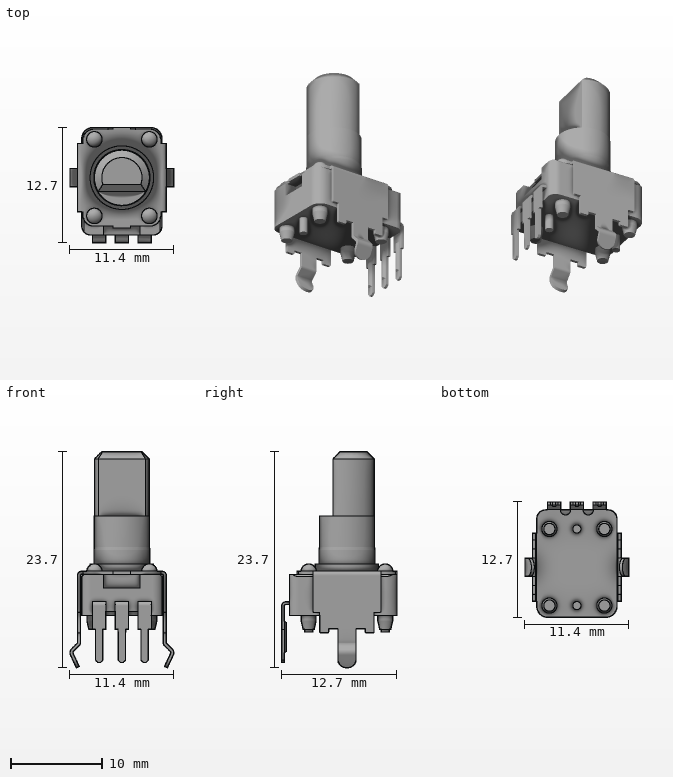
import cadquery as cq
import math


BODY_HALF_X = 4.4
BODY_BACK_Y = 5.5
BODY_FRONT_Y = -6.3
BODY_TOP_Z = 4.5
BACK_CORNER_RADIUS = 1.25
FRONT_CORNER_RADIUS = 1.02
SIDE_EDGE_CHAMFER = 0.24
NOTCH_DEPTH = 1.4
NOTCH_HEIGHT = 1.5
FRONT_NOTCH_WIDTH = 4.0
BACK_NOTCH_WIDTH = 2.99
RELIEF_RADIUS = 0.57
RELIEF_HEIGHT = 0.43

PLATE_THICKNESS = 0.35
PLATE_TOP_Z = BODY_TOP_Z + PLATE_THICKNESS
PLATE_MID_Z = BODY_TOP_Z + PLATE_THICKNESS / 2
PLATE_HALF_X = 4.27
PLATE_HALF_Y = 5.3
PLATE_CORNER_RADIUS = 1.18
PLATE_TAB_WIDTH = 1.95
BEND_RADIUS = 0.3
EAR_OUTER_X = 4.88
EAR_MID_X = EAR_OUTER_X - PLATE_THICKNESS / 2
EAR_HALF_WIDTH = 3.75
EAR_SHOULDER_Z = 0.35
EAR_LEG_HALF_WIDTH = 2.99
FOOT_Z = -1.9
FOOT_INNER_Y = 2.0
CROTCH_Z = -1.45
EAR_FILLET = 0.15

HOOK_WIDTH = 2.01
HOOK_TIP_RADIUS = 1.0
HOOK_START_Z = -3.08
HOOK_START_BEND = 0.2
HOOK_KNEE_BEND = 0.43
HOOK_KNEE_OFFSET = 0.9
HOOK_TIP_LENGTH = 1.85
HOOK_TIP_ANGLE = 25

RIVET_X = 3.0
RIVET_Y = 4.2
RIVET_RADIUS = 0.85
RIVET_HEIGHT = 0.8
PEG_RADIUS = 0.83
PEG_ROOT_Z = 2.25
PEG_STRAIGHT_Z = -0.6
PEG_END_Z = -1.52
PEG_END_RADIUS = 0.62
CENTER_PEG_RADIUS = 0.45
CENTER_PEG_END_Z = -1.8

BUSHING_RADIUS = 3.48
BUSHING_TOP_Z = 5.66
SHAFT_RADIUS = 3.0
SHANK_RADIUS = 3.03
COLLAR_RADIUS = 3.08
COLLAR_TOP_Z = 7.15
COLLAR_CONE_HEIGHT = 0.3
SHAFT_TOP_Z = 17.96
SHAFT_CHAMFER = 0.8
FLAT_BOTTOM_Z = 10.93
FLAT_Y = -1.55

PIN_PITCH = 2.5
PIN_THICKNESS = 0.3
PIN_WIDTH = 1.5
PIN_FRONT_Y = -7.15
PIN_MID_Y = PIN_FRONT_Y + PIN_THICKNESS / 2
PIN_TOP_Z = 1.52
PIN_MID_Z = PIN_TOP_Z - PIN_THICKNESS / 2
PIN_SHOULDER_Z = -1.52
PIN_END_Z = -5.15
PIN_TAIL_WIDTH = 0.83
PIN_TIP_CHAMFER = 0.25
PIN_ROOT = 0.47
RIB_TOP_Z = -0.6
RIB_BOTTOM_Z = -4.1
RIB_WIDTH = 0.57
RIB_HEIGHT = 0.21
RIB_TAPER = 40


def block(x_range, y_range, z_range):
    """Box spanning the given (low, high) ranges."""
    sizes = [high - low for low, high in (x_range, y_range, z_range)]
    corner = (x_range[0], y_range[0], z_range[0])
    return cq.Workplane("XY").box(*sizes, centered=False).translate(corner)


def bent_strip(points, bend_radii, width, thickness):
    """Flat strip swept along a YZ polyline centred on X = 0, with one bend radius per inner point."""
    path = cq.Wire.makePolygon([cq.Vector(0, y, z) for y, z in points])
    for corner in range(len(bend_radii), 0, -1):
        path = path.fillet(bend_radii[corner - 1], [path.Vertices()[corner]])
    section = cq.Workplane("XZ", origin=(0, *points[0])).rect(width, thickness)
    return section.sweep(cq.Workplane(obj=path))


def make_body():
    length = BODY_BACK_Y - BODY_FRONT_Y
    mid_y = (BODY_BACK_Y + BODY_FRONT_Y) / 2
    body = cq.Workplane("XY").center(0, mid_y).rect(2 * BODY_HALF_X, length).extrude(BODY_TOP_Z)
    body = body.edges("|Z and >Y").fillet(BACK_CORNER_RADIUS)
    body = body.edges("|Z and <Y").fillet(FRONT_CORNER_RADIUS)

    envelope = block((-BODY_HALF_X, BODY_HALF_X), (BODY_FRONT_Y, BODY_BACK_Y), (0, BODY_TOP_Z))
    body = body.intersect(envelope.edges("|Y and >Z").chamfer(SIDE_EDGE_CHAMFER))

    notch_z = (BODY_TOP_Z - NOTCH_HEIGHT, BODY_TOP_Z)
    front_x = (-FRONT_NOTCH_WIDTH / 2, FRONT_NOTCH_WIDTH / 2)
    back_x = (-BACK_NOTCH_WIDTH / 2, BACK_NOTCH_WIDTH / 2)
    body = body.cut(block(front_x, (BODY_FRONT_Y, BODY_FRONT_Y + NOTCH_DEPTH), notch_z))
    body = body.cut(block(back_x, (BODY_BACK_Y - NOTCH_DEPTH, BODY_BACK_Y), notch_z))

    relief_points = [(side * PIN_PITCH / 2, BODY_FRONT_Y) for side in (-1, 1)]
    reliefs = cq.Workplane("XY").pushPoints(relief_points).circle(RELIEF_RADIUS).extrude(RELIEF_HEIGHT)
    return body.cut(reliefs)


def make_plate():
    plate = (
        cq.Workplane("XY", origin=(0, 0, BODY_TOP_Z))
        .rect(2 * PLATE_HALF_X, 2 * PLATE_HALF_Y)
        .extrude(PLATE_THICKNESS)
        .edges("|Z")
        .fillet(PLATE_CORNER_RADIUS)
    )
    tab_x = (-PLATE_TAB_WIDTH / 2, PLATE_TAB_WIDTH / 2)
    return plate.union(block(tab_x, (-BODY_BACK_Y, BODY_BACK_Y), (BODY_TOP_Z, PLATE_TOP_Z)))


def make_ear():
    """Ear with its hook on the +Y side, its width running along X."""
    knee = (EAR_MID_X + HOOK_KNEE_OFFSET, HOOK_START_Z - HOOK_KNEE_OFFSET)
    angle = math.radians(HOOK_TIP_ANGLE)
    tip = (knee[0] - HOOK_TIP_LENGTH * math.sin(angle), knee[1] - HOOK_TIP_LENGTH * math.cos(angle))
    panel_start = (PLATE_HALF_X - PLATE_THICKNESS, PLATE_MID_Z)
    panel_corner = (EAR_MID_X, PLATE_MID_Z)
    panel_path = [panel_start, panel_corner, (EAR_MID_X, FOOT_Z)]
    panel = bent_strip(panel_path, [BEND_RADIUS], 2 * EAR_HALF_WIDTH, PLATE_THICKNESS)

    half_outline = [
        (0, PLATE_TOP_Z),
        (EAR_HALF_WIDTH, PLATE_TOP_Z),
        (EAR_HALF_WIDTH, EAR_SHOULDER_Z),
        (EAR_LEG_HALF_WIDTH, EAR_SHOULDER_Z),
        (EAR_LEG_HALF_WIDTH, FOOT_Z),
        (FOOT_INNER_Y, FOOT_Z),
        (FOOT_INNER_Y, CROTCH_Z),
        (0, CROTCH_Z),
    ]
    outline = cq.Workplane("XZ").polyline(half_outline).close().extrude(-EAR_OUTER_X)
    outline = outline.edges("|Y").edges(">X").edges("<Z").fillet(EAR_FILLET)
    outline = outline.faces("<Z").edges("|Y").fillet(EAR_FILLET)
    outline = outline.union(outline.mirror("YZ"))

    hook_path = [panel_start, panel_corner, (EAR_MID_X, HOOK_START_Z), knee, tip]
    hook_bends = [BEND_RADIUS, HOOK_START_BEND, HOOK_KNEE_BEND]
    hook = bent_strip(hook_path, hook_bends, HOOK_WIDTH, PLATE_THICKNESS)
    hook = hook.faces("<Z").edges("not |X").fillet(HOOK_TIP_RADIUS)
    return panel.intersect(outline).union(hook)


def make_rivets_and_pegs():
    dome_center_z = PLATE_TOP_Z + RIVET_HEIGHT - RIVET_RADIUS
    dome = cq.Workplane("XY").sphere(RIVET_RADIUS).translate((0, 0, dome_center_z))
    peg = (
        cq.Workplane("XZ")
        .polyline([
            (0, PEG_ROOT_Z),
            (PEG_RADIUS, PEG_ROOT_Z),
            (PEG_RADIUS, PEG_STRAIGHT_Z),
            (PEG_END_RADIUS, PEG_END_Z),
            (0, PEG_END_Z),
        ])
        .close()
        .revolve()
    )
    center_peg = cq.Workplane("XY").circle(CENTER_PEG_RADIUS).extrude(CENTER_PEG_END_Z)
    parts = []
    for y in (-RIVET_Y, RIVET_Y):
        parts.append(center_peg.translate((0, y, 0)))
        for x in (-RIVET_X, RIVET_X):
            parts.append(dome.translate((x, y, 0)))
            parts.append(peg.translate((x, y, 0)))
    return parts


def make_shaft():
    shaft = (
        cq.Workplane("XY", origin=(0, 0, FLAT_BOTTOM_Z))
        .circle(SHAFT_RADIUS)
        .extrude(SHAFT_TOP_Z - FLAT_BOTTOM_Z)
    )
    flat_y = (-SHAFT_RADIUS, FLAT_Y)
    shaft = shaft.cut(block((-SHAFT_RADIUS, SHAFT_RADIUS), flat_y, (FLAT_BOTTOM_Z, SHAFT_TOP_Z)))
    shaft = shaft.faces(">Z").chamfer(SHAFT_CHAMFER)

    lower_part = (
        cq.Workplane("XZ")
        .polyline([
            (0, BODY_TOP_Z),
            (BUSHING_RADIUS, BODY_TOP_Z),
            (BUSHING_RADIUS, BUSHING_TOP_Z),
            (COLLAR_RADIUS, BUSHING_TOP_Z),
            (COLLAR_RADIUS, COLLAR_TOP_Z),
            (SHANK_RADIUS, COLLAR_TOP_Z + COLLAR_CONE_HEIGHT),
            (SHANK_RADIUS, FLAT_BOTTOM_Z),
            (0, FLAT_BOTTOM_Z),
        ])
        .close()
        .revolve()
    )
    return shaft.union(lower_part)


def make_pin():
    strip_path = [(BODY_FRONT_Y + PIN_ROOT, PIN_MID_Z), (PIN_MID_Y, PIN_MID_Z), (PIN_MID_Y, PIN_END_Z)]
    strip = bent_strip(strip_path, [BEND_RADIUS], PIN_WIDTH, PIN_THICKNESS)

    half_outline = [
        (0, PIN_TOP_Z),
        (PIN_WIDTH / 2, PIN_TOP_Z),
        (PIN_WIDTH / 2, PIN_SHOULDER_Z),
        (PIN_TAIL_WIDTH / 2, PIN_SHOULDER_Z),
        (PIN_TAIL_WIDTH / 2, PIN_END_Z + PIN_TIP_CHAMFER),
        (PIN_TAIL_WIDTH / 2 - PIN_TIP_CHAMFER, PIN_END_Z),
        (0, PIN_END_Z),
    ]
    outline = cq.Workplane("XZ").polyline(half_outline).mirrorY().extrude(-PIN_FRONT_Y)

    rib_mid_z = (RIB_TOP_Z + RIB_BOTTOM_Z) / 2
    rib = (
        cq.Workplane("XZ", origin=(0, PIN_FRONT_Y + PIN_THICKNESS, rib_mid_z))
        .rect(RIB_WIDTH, RIB_TOP_Z - RIB_BOTTOM_Z)
        .extrude(-RIB_HEIGHT, taper=RIB_TAPER)
    )
    return strip.intersect(outline).union(rib)


result = make_body().union(make_plate()).union(make_shaft())
for feature in make_rivets_and_pegs():
    result = result.union(feature)

ear = make_ear()
for turn in (-90, 90):
    result = result.union(ear.rotate((0, 0, 0), (0, 0, 1), turn))

pin = make_pin()
for x in (-PIN_PITCH, 0, PIN_PITCH):
    result = result.union(pin.translate((x, 0, 0)))